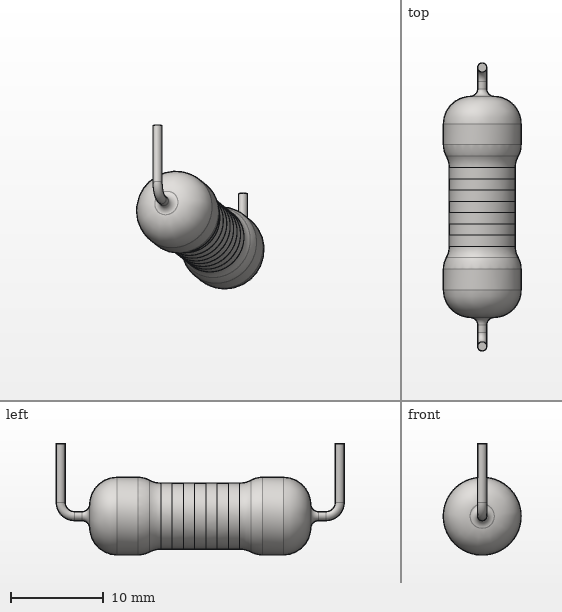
import cadquery as cq
import math

overall_length = 31.0
overall_height = 12.0

cap_diameter = 8.4
band_diameter = 7.15
core_diameter = 7.13
wire_diameter = 1.0

body_length = 23.8
dome_length = 2.98
cap_straight_length = 2.23
band_width = 1.2
band_count = 4

flare_radius = 0.8
lead_straight_length = 0.8

cap_radius = cap_diameter / 2
band_radius = band_diameter / 2
core_radius = core_diameter / 2
wire_radius = wire_diameter / 2
body_end = body_length / 2
dome_start = body_end - dome_length
shoulder_outer = dome_start - cap_straight_length
banded_length = (2 * band_count - 1) * band_width
shoulder_inner = banded_length / 2

flare_end = body_end + flare_radius
bend_start = flare_end + lead_straight_length
lead_center = overall_length / 2 - wire_radius
bend_radius = lead_center - bend_start
lead_top = overall_height - cap_radius
diagonal = math.sqrt(0.5)


def make_end_cap():
    """Revolve the +Y cap: S-shaped shoulder, cylinder, dome and lead flare."""
    root = shoulder_inner - band_width / 2
    shoulder_middle = (
        (core_radius + cap_radius) / 2,
        (shoulder_inner + shoulder_outer) / 2,
    )
    flare_middle = (
        wire_radius + flare_radius * (1 - diagonal),
        flare_end - flare_radius * diagonal,
    )
    return (
        cq.Workplane("XY")
        .moveTo(0, root)
        .lineTo(core_radius, root)
        .lineTo(core_radius, shoulder_inner)
        .tangentArcPoint(shoulder_middle, relative=False)
        .tangentArcPoint((cap_radius, shoulder_outer), relative=False)
        .lineTo(cap_radius, dome_start)
        .tangentArcPoint((wire_radius + flare_radius, body_end), relative=False)
        .threePointArc(flare_middle, (wire_radius, flare_end))
        .lineTo(0, flare_end)
        .close()
        .revolve(360, (0, 0, 0), (0, 1, 0))
    )


def make_lead():
    """Sweep the +Y wire lead out along the axis and up through its bend."""
    bend_middle = (
        bend_start + bend_radius * diagonal,
        bend_radius * (1 - diagonal),
    )
    path = (
        cq.Workplane("YZ")
        .moveTo(body_end, 0)
        .lineTo(bend_start, 0)
        .threePointArc(bend_middle, (lead_center, bend_radius))
        .lineTo(lead_center, lead_top)
    )
    return (
        cq.Workplane("XZ", origin=(0, body_end, 0))
        .circle(wire_radius)
        .sweep(path)
    )


def make_cylinder(radius, start, length):
    """Cylinder on the Y axis, running in +Y from start."""
    return (
        cq.Workplane("XZ", origin=(0, start, 0))
        .circle(radius)
        .extrude(-length)
    )


result = make_cylinder(core_radius, -shoulder_inner, banded_length)

for index in range(band_count):
    band_start = -shoulder_inner + 2 * index * band_width
    result = result.union(make_cylinder(band_radius, band_start, band_width))

end = make_end_cap().union(make_lead())
result = result.union(end).union(end.mirror("XZ"))